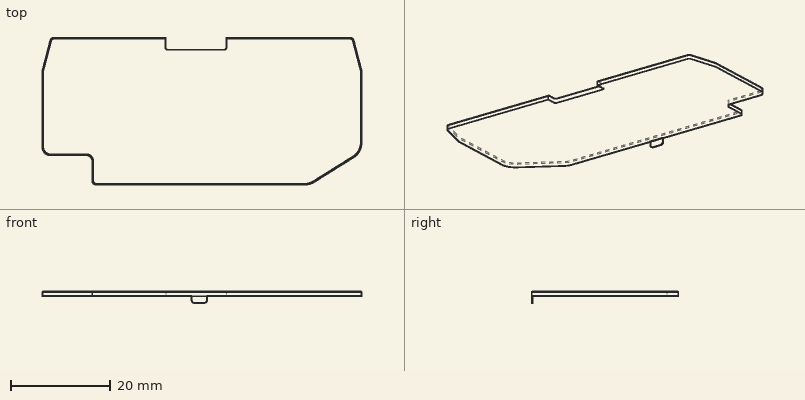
import cadquery as cq

length = 64.4
width = 29.6
total_height = 2.4
plate_thickness = 0.95
edge_chamfer = 0.2

shoulder_inset = 1.75
shoulder_drop = 6.6
shoulder_radius = 0.8

step_length = 10.05
step_width = 5.9
step_outer_radius = 1.6
step_inner_radius = 1.15
step_front_radius = 0.8

slope_length = 10.4
slope_width = 6.5
slope_front_radius = 2.95
slope_side_radius = 3.5

notch_start = 24.85
notch_end = 37.1
notch_depth = 2.4
notch_radius = 0.3

tab_start = 30.05
tab_width = 3.15
tab_thickness = 0.2
tab_setback = 0.05
tab_radius = 0.65


def round_corner(body, x, y, radius):
    """Round the vertical edge that stands at (x, y)."""
    edge = body.edges("|Z").edges(cq.selectors.NearestToPointSelector((x, y, plate_thickness / 2)))
    return edge.fillet(radius)


def make_plate():
    """Plate with rounded corners, a chamfered top rim and a notch in the back edge."""
    outline = [
        (step_length, 0),
        (length - slope_length, 0),
        (length, slope_width),
        (length, width - shoulder_drop),
        (length - shoulder_inset, width),
        (shoulder_inset, width),
        (0, width - shoulder_drop),
        (0, step_width),
        (step_length, step_width),
    ]
    plate = cq.Workplane("XY").polyline(outline).close().extrude(plate_thickness)

    rounded_corners = [
        (step_length, 0, step_front_radius),
        (length - slope_length, 0, slope_front_radius),
        (length, slope_width, slope_side_radius),
        (length - shoulder_inset, width, shoulder_radius),
        (shoulder_inset, width, shoulder_radius),
        (0, step_width, step_outer_radius),
        (step_length, step_width, step_inner_radius),
    ]
    for x, y, radius in rounded_corners:
        plate = round_corner(plate, x, y, radius)
    plate = plate.faces(">Z").edges().chamfer(edge_chamfer)
    return plate.cut(make_notch())


def make_notch():
    """Cutter for the notch, with its inner corners rounded."""
    return (
        cq.Workplane("XY")
        .moveTo(notch_start, width - notch_depth)
        .rect(notch_end - notch_start, 2 * notch_depth, centered=False)
        .extrude(plate_thickness)
        .edges("|Z and <Y")
        .fillet(notch_radius)
    )


def make_tab():
    """Thin tab, just behind the front edge, with rounded lower corners."""
    tab_bottom = plate_thickness - total_height
    return (
        cq.Workplane("XY")
        .box(tab_width, tab_thickness, -tab_bottom, centered=False)
        .translate((tab_start, tab_setback, tab_bottom))
        .edges("|Y and <Z")
        .fillet(tab_radius)
    )


result = make_plate().union(make_tab())